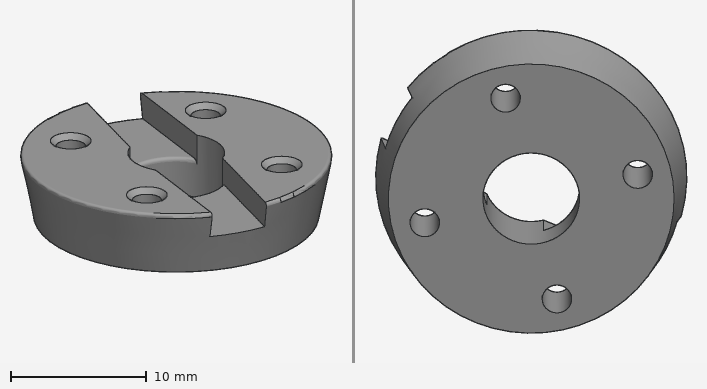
import cadquery as cq
import math

HEIGHT = 5.0
BOTTOM_RADIUS = 10.5
TOP_RADIUS = 11.5
RIM_FILLET = 0.25

BORE_RADIUS = 3.55
BORE_FILLET = 0.3

SLOT_DEPTH = 2.0
SLOT_HALF_WIDTH = 2.83
SHALLOW_WALL_ANGLE = 1.75
STEEP_WALL_ANGLE = 8.2
SLOT_OVERRUN = 1.0

SCREW_CIRCLE_RADIUS = 8.05
SCREW_RADIUS = 1.08
COUNTERSINK_RADIUS = 1.5
COUNTERSINK_DEPTH = COUNTERSINK_RADIUS - SCREW_RADIUS
SCREW_COUNT = 4
FIRST_SCREW_ANGLE = 45.0

FLOOR_HEIGHT = HEIGHT - SLOT_DEPTH
SELECTION_MARGIN = 0.05


def revolve_about_z(profile):
    """Solid of revolution from a closed outline of (radius, height) points."""
    return cq.Workplane("XZ").polyline(profile).close().revolve(360, (0, 0), (0, 1))


def make_disc():
    """Disc widening upwards, with a rounded top rim."""
    profile = [(0, 0), (BOTTOM_RADIUS, 0), (TOP_RADIUS, HEIGHT), (0, HEIGHT)]
    return revolve_about_z(profile).faces(">Z").edges().fillet(RIM_FILLET)


def make_slot():
    """Slot volume, unchanged by a half turn about the Z axis."""
    reach = TOP_RADIUS + SLOT_OVERRUN
    shallow_rise = reach * math.tan(math.radians(SHALLOW_WALL_ANGLE))
    steep_drop = reach * math.tan(math.radians(STEEP_WALL_ANGLE))
    upper_wall = [
        (-reach, SLOT_HALF_WIDTH + shallow_rise),
        (0, SLOT_HALF_WIDTH),
        (reach, SLOT_HALF_WIDTH - steep_drop),
    ]
    lower_wall = [(-x, -y) for x, y in upper_wall]
    floor = cq.Workplane("XY").workplane(offset=FLOOR_HEIGHT)
    return floor.polyline(upper_wall + lower_wall).close().extrude(SLOT_DEPTH)


def make_bore():
    """Central through hole."""
    return cq.Workplane("XY").circle(BORE_RADIUS).extrude(HEIGHT)


def round_bore_in_slot(body):
    """Round the bore edges that lie in the slot floor."""
    half_side = BORE_RADIUS + SELECTION_MARGIN
    around_bore = cq.selectors.BoxSelector(
        (-half_side, -half_side, FLOOR_HEIGHT - SELECTION_MARGIN),
        (half_side, half_side, FLOOR_HEIGHT + SELECTION_MARGIN),
    )
    return body.edges(around_bore).edges("%CIRCLE").fillet(BORE_FILLET)


def make_screw_holes():
    """Ring of through holes, each countersunk at the top."""
    profile = [
        (0, 0),
        (SCREW_RADIUS, 0),
        (SCREW_RADIUS, HEIGHT - COUNTERSINK_DEPTH),
        (COUNTERSINK_RADIUS, HEIGHT),
        (0, HEIGHT),
    ]
    hole = revolve_about_z(profile).val()
    ring = cq.Workplane("XY").polarArray(SCREW_CIRCLE_RADIUS, FIRST_SCREW_ANGLE, 360, SCREW_COUNT)
    return ring.eachpoint(lambda location: hole.moved(location), combine=False)


slotted_disc = make_disc().cut(make_slot()).cut(make_bore())
result = round_bore_in_slot(slotted_disc).cut(make_screw_holes())